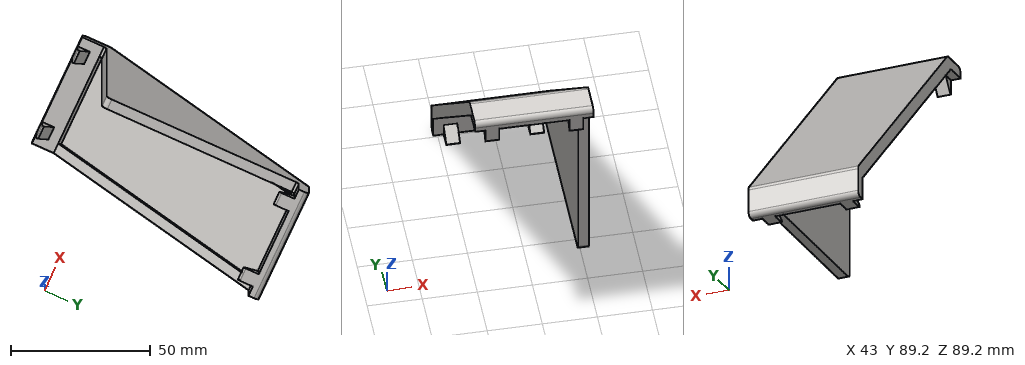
import cadquery as cq
import math

WIDTH = 43.0
HALF = 44.6

LIP_THICKNESS = 4.0
LIP_LENGTH = 11.3
PANEL_THICKNESS = 4.8
EDGE_RADIUS = 2.0

RIB_THICKNESS = 3.9
RIB_SETBACK = 9.55

HOOK_INSET = 3.75
HOOK_WIDTH = 5.0
HOOK_LENGTH = 5.9
HOOK_BASE = 4.7
HOOK_TIP_RADIUS = 0.7

RECESS_DEPTH = 1.7
GROOVE_WIDTH = 1.7
GROOVE_DEPTH = 1.6
GROOVE_END_GAP = 2.9

LEFT = -WIDTH / 2
RIB_FACE = WIDTH / 2 - RIB_THICKNESS
LIP_FACE = HALF - LIP_THICKNESS
OUTER_BEND = LIP_LENGTH - HALF
UNDERSIDE_SUM = LIP_LENGTH - PANEL_THICKNESS * math.sqrt(2)
INNER_BEND = UNDERSIDE_SUM - LIP_FACE
RIB_EDGE = RIB_SETBACK - HALF
SLOPE_LENGTH = (LIP_FACE - INNER_BEND) * math.sqrt(2)


def extrude_profile(points, start, length):
    """Extrude a closed (y, z) outline along +X."""
    return cq.Workplane("YZ", origin=(start, 0, 0)).polyline(points).close().extrude(length)


def mirrored(points):
    """Swap y and z to carry an outline from the upper lip to the lower one."""
    return [(z, y) for y, z in points]


def round_edge(body, y, z, radius):
    """Round the edge along X that passes nearest to (y, z)."""
    return body.edges("|X").edges(cq.selectors.NearestToPointSelector((0, y, z))).fillet(radius)


def make_panel():
    upper_half = [(INNER_BEND, LIP_FACE), (-HALF, LIP_FACE), (-HALF, HALF), (OUTER_BEND, HALF)]
    panel = extrude_profile(upper_half + mirrored(upper_half)[::-1], LEFT, WIDTH)
    for corner in [(-HALF, HALF), (OUTER_BEND, HALF)]:
        for y, z in [corner, corner[::-1]]:
            panel = round_edge(panel, y, z, EDGE_RADIUS)
    return panel


def cut_along_slope(start, width, length, depth):
    """Box sunk into the underside, centred along the slope, from x = start."""
    middle = UNDERSIDE_SUM / 2
    box = cq.Workplane("XY").box(width, length, 2 * depth, centered=(False, True, True))
    return box.rotate((0, 0, 0), (1, 0, 0), -45).translate((start, middle, middle))


def make_rib():
    hypotenuse_end = UNDERSIDE_SUM - RIB_EDGE
    corners = [(RIB_EDGE, RIB_EDGE), (RIB_EDGE, hypotenuse_end), (hypotenuse_end, RIB_EDGE)]
    rib = extrude_profile(corners, RIB_FACE, RIB_THICKNESS)
    return round_edge(rib, RIB_EDGE, RIB_EDGE, EDGE_RADIUS)


def make_hook(start, lower):
    """Wedge whose end is a quarter round running from its back to its sloped face."""
    tip = LIP_FACE - HOOK_LENGTH
    arc_middle = HOOK_TIP_RADIUS * (1 - math.sqrt(0.5))
    outline = [
        (HOOK_BASE - HALF, LIP_FACE),
        (-HALF, LIP_FACE),
        (-HALF, tip + HOOK_TIP_RADIUS),
        (arc_middle - HALF, tip + arc_middle),
        (HOOK_TIP_RADIUS - HALF, tip),
    ]
    if lower:
        outline = mirrored(outline)
    base, corner, arc_start, arc_mid, arc_end = outline
    sketch = cq.Workplane("YZ", origin=(start, 0, 0)).polyline([base, corner, arc_start])
    return sketch.threePointArc(arc_mid, arc_end).close().extrude(HOOK_WIDTH)


RECESS_START = LEFT + RIB_THICKNESS
recess = cut_along_slope(RECESS_START, RIB_FACE - RECESS_START, SLOPE_LENGTH, RECESS_DEPTH)
groove = cut_along_slope(
    RIB_FACE - GROOVE_WIDTH, GROOVE_WIDTH, SLOPE_LENGTH - 2 * GROOVE_END_GAP, RECESS_DEPTH + GROOVE_DEPTH
)

result = make_panel().cut(recess).cut(groove).union(make_rib())
for hook_start in [LEFT + HOOK_INSET, -LEFT - HOOK_INSET - HOOK_WIDTH]:
    for is_lower in [False, True]:
        result = result.union(make_hook(hook_start, is_lower))